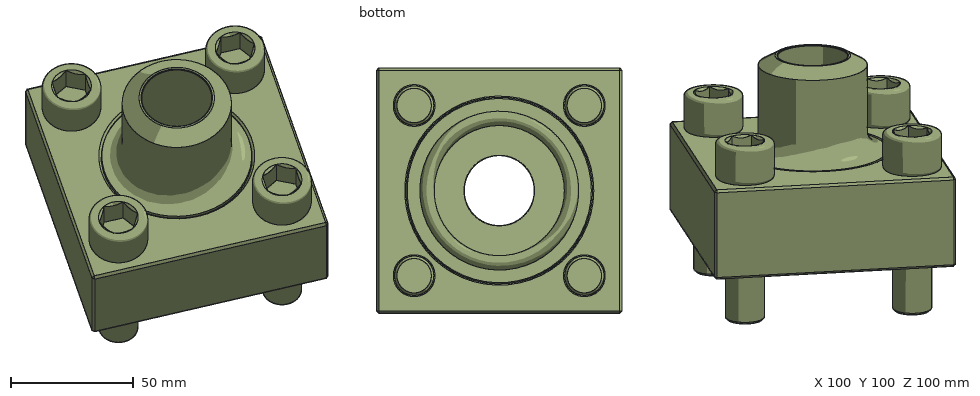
import cadquery as cq
import math

FLANGE_SIDE = 100.0
FLANGE_THICKNESS = 38.0
EDGE_CHAMFER = 1.0
SLEEVE_HOLE_DIA = 61.5
RECESS_DIA = 77.0

SHANK_DIA = 16.0
SHANK_LENGTH = 60.0
SHANK_END_CHAMFER = 1.0
SCREW_HOLE_DIA = 17.0
BOLT_CIRCLE_DIA = 98.0
HEAD_DIA = 24.0
HEAD_HEIGHT = SHANK_DIA
HEAD_ROUND = 1.6
SOCKET_WIDTH = 14.0
SOCKET_DEPTH = 11.0
SOCKET_MOUTH_ANGLE = 45.0

OVERALL_HEIGHT = 100.0
PIPE_DIA = 44.5
BORE_DIA = 28.5
WELD_LAND_WIDTH = 1.1
WELD_BEVEL_ANGLE = 30.0
BORE_EDGE_BREAK = 0.3
SLEEVE_DIA = 61.0
COLLAR_DIA = 76.0
COLLAR_THICKNESS = 16.0
COLLAR_CHAMFER = 0.5
COLLAR_PROJECTION = 2.0

SEAL_INNER_DIA = 53.0
SEAL_OUTER_DIA = 64.7
SEAL_PROJECTION = 1.4

FLANGE_TOP = SHANK_LENGTH
FLANGE_BOTTOM = FLANGE_TOP - FLANGE_THICKNESS
COLLAR_BOTTOM = FLANGE_BOTTOM - COLLAR_PROJECTION
COLLAR_TOP = COLLAR_BOTTOM + COLLAR_THICKNESS
HEAD_TOP = FLANGE_TOP + HEAD_HEIGHT

SCREW_OFFSET = BOLT_CIRCLE_DIA / 2 / math.sqrt(2)
SEAL_SECTION_DIA = (SEAL_OUTER_DIA - SEAL_INNER_DIA) / 2
SEAL_CENTRE_RADIUS = (SEAL_OUTER_DIA + SEAL_INNER_DIA) / 4


def cylinder(diameter, bottom, top):
    """Upright cylinder on the Z axis between two levels."""
    return cq.Workplane("XY").workplane(offset=bottom).circle(diameter / 2).extrude(top - bottom)


def make_flange():
    """Square block with a stepped centre hole and four screw holes."""
    block = (
        cq.Workplane("XY")
        .workplane(offset=FLANGE_BOTTOM)
        .rect(FLANGE_SIDE, FLANGE_SIDE)
        .extrude(FLANGE_THICKNESS)
        .edges()
        .chamfer(EDGE_CHAMFER)
    )
    sleeve_hole = cylinder(SLEEVE_HOLE_DIA, FLANGE_BOTTOM, FLANGE_TOP)
    recess = cylinder(RECESS_DIA, FLANGE_BOTTOM, COLLAR_TOP)
    screw_holes = (
        cq.Workplane("XY")
        .workplane(offset=FLANGE_BOTTOM)
        .rect(2 * SCREW_OFFSET, 2 * SCREW_OFFSET, forConstruction=True)
        .vertices()
        .circle(SCREW_HOLE_DIA / 2)
        .extrude(FLANGE_THICKNESS)
    )
    bored_block = block.cut(sleeve_hole).faces(">Z").edges("%CIRCLE").chamfer(EDGE_CHAMFER)
    return bored_block.cut(recess).cut(screw_holes)


def make_neck():
    """Revolved pipe stub with a bevelled end, a flared sleeve and a collar with a seal groove."""
    bore_radius = BORE_DIA / 2
    pipe_radius = PIPE_DIA / 2
    sleeve_radius = SLEEVE_DIA / 2
    collar_radius = COLLAR_DIA / 2
    land_radius = bore_radius + WELD_LAND_WIDTH
    bevel_height = (pipe_radius - land_radius) * math.tan(math.radians(WELD_BEVEL_ANGLE))
    flare_radius = sleeve_radius - pipe_radius
    flare_mid_inset = flare_radius * math.sqrt(0.5)
    flare_top = FLANGE_TOP + flare_radius

    body = (
        cq.Workplane("XZ")
        .moveTo(bore_radius, COLLAR_BOTTOM)
        .lineTo(collar_radius - COLLAR_CHAMFER, COLLAR_BOTTOM)
        .lineTo(collar_radius, COLLAR_BOTTOM + COLLAR_CHAMFER)
        .lineTo(collar_radius, COLLAR_TOP)
        .lineTo(sleeve_radius, COLLAR_TOP)
        .lineTo(sleeve_radius, FLANGE_TOP)
        .threePointArc(
            (sleeve_radius - flare_mid_inset, flare_top - flare_mid_inset),
            (pipe_radius, flare_top),
        )
        .lineTo(pipe_radius, OVERALL_HEIGHT - bevel_height)
        .lineTo(land_radius, OVERALL_HEIGHT)
        .lineTo(bore_radius + BORE_EDGE_BREAK, OVERALL_HEIGHT)
        .lineTo(bore_radius, OVERALL_HEIGHT - BORE_EDGE_BREAK)
        .close()
        .revolve(360, (0, 0), (0, 1))
    )
    groove_top = COLLAR_BOTTOM - SEAL_PROJECTION + SEAL_SECTION_DIA
    groove = cylinder(SEAL_OUTER_DIA, COLLAR_BOTTOM, groove_top).cut(
        cylinder(SEAL_INNER_DIA, COLLAR_BOTTOM, groove_top)
    )
    return body.cut(groove)


def make_seal():
    """Round-section ring seated in the collar groove."""
    centre_level = COLLAR_BOTTOM - SEAL_PROJECTION + SEAL_SECTION_DIA / 2
    return (
        cq.Workplane("XZ")
        .center(SEAL_CENTRE_RADIUS, centre_level)
        .circle(SEAL_SECTION_DIA / 2)
        .revolve(360, (-SEAL_CENTRE_RADIUS, 0), (-SEAL_CENTRE_RADIUS, 1))
    )


def make_screw(x, y, turn):
    """Socket head cap screw at (x, y), with its hexagon turned about Z."""
    shank = cylinder(SHANK_DIA, 0, FLANGE_TOP).faces("<Z").chamfer(SHANK_END_CHAMFER)
    head = cylinder(HEAD_DIA, FLANGE_TOP, HEAD_TOP).edges("%CIRCLE").fillet(HEAD_ROUND)
    corner_dia = SOCKET_WIDTH / math.cos(math.radians(30))
    socket = (
        cq.Workplane("XY")
        .workplane(offset=HEAD_TOP - SOCKET_DEPTH)
        .polygon(6, corner_dia)
        .extrude(SOCKET_DEPTH)
    )
    corner_radius = corner_dia / 2
    mouth_depth = corner_radius * math.tan(math.radians(SOCKET_MOUTH_ANGLE))
    socket_mouth = cq.Workplane(
        cq.Solid.makeCone(0, corner_radius, mouth_depth, pnt=cq.Vector(0, 0, HEAD_TOP - mouth_depth))
    )
    screw = shank.union(head).cut(socket).cut(socket_mouth)
    return screw.rotate((0, 0, 0), (0, 0, 1), turn).translate((x, y, 0))


flange = make_flange()
neck = make_neck()
seal = make_seal()

screws = []
for side_x in (-1, 1):
    for side_y in (-1, 1):
        hexagon_turn = 0 if side_x == side_y else 90
        screws.append(make_screw(side_x * SCREW_OFFSET, side_y * SCREW_OFFSET, hexagon_turn))

result = cq.Compound.makeCompound(
    [flange.val(), neck.val(), seal.val(), *[screw.val() for screw in screws]]
)